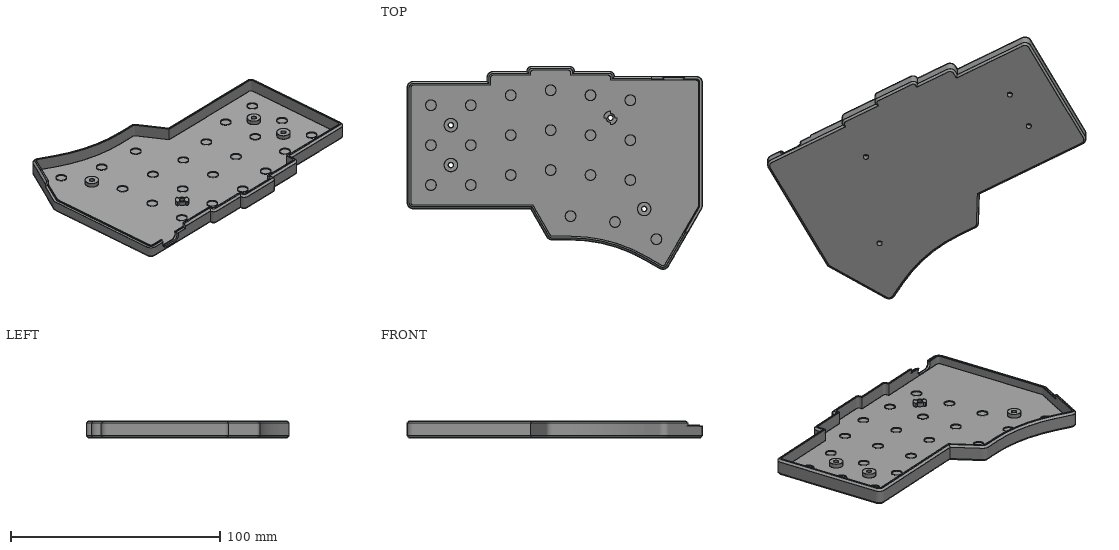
import cadquery as cq
import math

length_x = 141.0
width_y = 96.93
height = 8.0
wall = 1.8
floor = 2.0
edge_chamfer = 1.0
corner_radius = 3.0
tab_radius_limit = 2.3
main_corners = ["front left", "heel", "tip", "hip", "back right", "left step", "back left"]
tab_corners = ["tab left", "tab right", "right step"]

key_pitch = 19.05
key_margin = 11.375
stagger = key_pitch / 8
left_x = -length_x / 2
right_x = length_x / 2
top_y = width_y / 2
column_drops = [3, 3, 1, 0, 1, 2]
column_x = [left_x + key_margin + i * key_pitch for i in range(len(column_drops))]
first_row_y = top_y - key_margin
rows = 3
magnet_diameter = 5.1
magnet_depth = 0.5

thumb_arc_radius = 82.0
thumb_step = math.radians(15)
thumb_count = 3
thumb_x = column_x[3] + key_pitch / 2
thumb_y = -23.03

standoff_diameter = 6.4
standoff_neck = 4.2
standoff_top = 4.0
screw_diameter = 2.4
notched_standoff_y = 23.9
thumb_standoff = (42.7, -19.6)
outer_gap_x = (column_x[0] + column_x[1]) / 2
notched_standoff = ((column_x[4] + column_x[5]) / 2, notched_standoff_y)

bay_left_x = 46.1
bay_front_y = -30.6
bay_shelf_z = 5.6
bay_lip_z = 6.0
bay_lip_thickness = 0.5

notch_x = 56.75
notch_width = 10.2
notch_height = 4.6
notch_bottom_z = 2.3
notch_chamfer = 0.5
notch_chamfer_angle = 45


def key_y(column, row):
    """Key centre in Y; row 0 is the back row."""
    return first_row_y - column_drops[column] * stagger - row * key_pitch


def thumb_point(index, offset=0.0):
    """Point on the thumb arc, or moved that far from it toward the front wall."""
    angle = index * thumb_step
    radius = thumb_arc_radius - offset
    centre_y = thumb_y - thumb_arc_radius
    return (thumb_x + radius * math.sin(angle), centre_y + radius * math.cos(angle))


def column_top(column, margin):
    """Y of the back edge standing the margin behind a column's rear key."""
    return key_y(column, 0) + margin


def outline_corners(inset):
    """Sharp corners of the outline moved inward by the inset, by name."""
    margin = key_margin - inset
    last_angle = (thumb_count - 1) * thumb_step
    along = (math.cos(last_angle), -math.sin(last_angle))
    arc_start = thumb_point(0, margin)
    arc_end = thumb_point(thumb_count - 1, margin)
    tip = (arc_end[0] + margin * along[0], arc_end[1] + margin * along[1])
    side_x = right_x - inset
    slant_rise = (side_x - tip[0]) / math.tan(last_angle)
    bottom_y = key_y(0, rows - 1) - margin
    elbow_x = column_x[3] - key_pitch / 2 + inset * math.tan(last_angle)
    heel_x = elbow_x + (bottom_y - arc_start[1]) * math.tan(last_angle)
    left_step_x = column_x[2] - margin
    tab_left_x = column_x[3] - margin
    tab_right_x = column_x[3] + margin
    right_step_x = column_x[4] + margin
    return {
        "front left": (column_x[0] - margin, bottom_y),
        "elbow": (elbow_x, bottom_y),
        "heel": (heel_x, arc_start[1]),
        "arc start": arc_start,
        "arc end": arc_end,
        "tip": tip,
        "hip": (side_x, tip[1] + slant_rise),
        "back right": (side_x, column_top(5, margin)),
        "right step inner": (right_step_x, column_top(5, margin)),
        "right step": (right_step_x, column_top(4, margin)),
        "tab right inner": (tab_right_x, column_top(4, margin)),
        "tab right": (tab_right_x, column_top(3, margin)),
        "tab left": (tab_left_x, column_top(3, margin)),
        "tab left inner": (tab_left_x, column_top(2, margin)),
        "left step": (left_step_x, column_top(2, margin)),
        "left step inner": (left_step_x, column_top(0, margin)),
        "back left": (column_x[0] - margin, column_top(0, margin)),
    }


def outline(inset):
    """Closed outline: straight sides, and an arc along the thumb keys."""
    (_, start), *others = outline_corners(inset).items()
    wire = cq.Workplane("XY").moveTo(*start)
    for name, corner in others:
        if name == "arc end":
            arc_middle = thumb_point((thumb_count - 1) / 2, key_margin - inset)
            wire = wire.threePointArc(arc_middle, corner)
        else:
            wire = wire.lineTo(*corner)
    return wire.close()


def round_corners(prism, inset, names, radius):
    """Fillets the upright edges standing at the named corners."""
    corners = outline_corners(inset)
    middle_z = prism.val().BoundingBox().center.z
    for name in names:
        selector = cq.selectors.NearestToPointSelector((*corners[name], middle_z))
        prism = prism.edges("|Z").edges(selector).fillet(radius)
    return prism


def inset_prism(inset, bottom_z, top_z):
    """Upright prism over the inset outline, its rounded corners concentric with the outer ones."""
    prism = outline(inset).extrude(top_z - bottom_z)
    radius = corner_radius - inset
    prism = round_corners(prism, inset, main_corners, radius)
    prism = round_corners(prism, inset, tab_corners, min(radius, tab_radius_limit))
    return prism.translate((0, 0, bottom_z))


def make_tray():
    """Chamfered block hollowed out above the floor."""
    block = inset_prism(0, 0, height)
    block = block.faces("<Z or >Z").chamfer(edge_chamfer)
    return block.cut(inset_prism(wall, floor, height))


def make_bay_cut():
    """Lowers the rim of the bay to a shelf, leaving a thin lip along its inner face."""
    bay_size = (right_x - bay_left_x, top_y - bay_front_y, height)
    box = cq.Workplane("XY").box(*bay_size, centered=False)
    above_shelf = box.translate((bay_left_x, bay_front_y, bay_shelf_z))
    lip = inset_prism(wall - bay_lip_thickness, bay_shelf_z, bay_lip_z)
    return above_shelf.cut(lip)


def make_notch():
    """Slot through the back wall, chamfered where it meets the outer face."""
    back_y = column_top(5, key_margin)
    centre = (notch_x, notch_bottom_z + notch_height / 2)
    face = cq.Workplane("XZ", origin=(0, back_y, 0)).center(*centre)
    slot = face.slot2D(notch_width, notch_height).extrude(wall)
    flare = (
        face.slot2D(notch_width + 2 * notch_chamfer, notch_height + 2 * notch_chamfer)
        .extrude(notch_chamfer, taper=notch_chamfer_angle)
    )
    return slot.union(flare)


def add_standoffs(tray):
    """Posts on the floor with screw holes through the whole base."""
    standoff_points = [
        (outer_gap_x, (key_y(0, 0) + key_y(0, 1)) / 2),
        (outer_gap_x, (key_y(0, 1) + key_y(0, 2)) / 2),
        notched_standoff,
        thumb_standoff,
    ]
    posts = (
        cq.Workplane("XY", origin=(0, 0, floor))
        .pushPoints(standoff_points)
        .circle(standoff_diameter / 2)
        .extrude(standoff_top - floor)
    )
    posts = posts.cut(make_standoff_relief())
    holes = (
        cq.Workplane("XY")
        .pushPoints(standoff_points)
        .circle(screw_diameter / 2)
        .extrude(standoff_top)
    )
    return tray.union(posts).cut(holes)


def make_standoff_relief():
    """Two opposite quarters around the notched standoff, outside its neck."""
    x, y = notched_standoff
    reach = standoff_diameter / 2
    base = cq.Workplane("XY", origin=(x, y, floor))
    quarter = base.rect(reach, reach, centered=False).extrude(standoff_top - floor)
    opposite = quarter.rotate((x, y, 0), (x, y, 1), 180)
    neck = base.circle(standoff_neck / 2).extrude(standoff_top - floor)
    return quarter.union(opposite).cut(neck)


def make_magnet_pockets():
    """Shallow round pocket in the floor under every key."""
    points = [(x, key_y(column, row)) for column, x in enumerate(column_x) for row in range(rows)]
    points += [thumb_point(i) for i in range(thumb_count)]
    return (
        cq.Workplane("XY", origin=(0, 0, floor))
        .pushPoints(points)
        .circle(magnet_diameter / 2)
        .extrude(-magnet_depth)
    )


tray = make_tray().cut(make_bay_cut()).cut(make_notch())
result = add_standoffs(tray).cut(make_magnet_pockets())